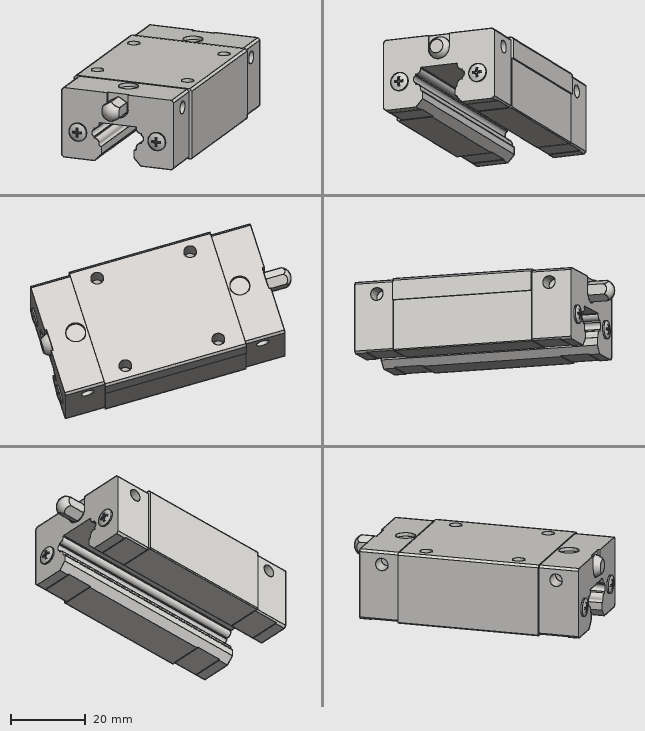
import cadquery as cq
import math


block_width = 34.0
block_length = 39.45
block_height = 19.7
block_top_chamfer = 0.6
block_bottom_chamfer = 0.3
relief_depth = 0.4
relief_top = 13.8

cap_width = 32.4
cap_top = 19.5
cap_bottom = 0.2
cap_chamfer = 0.6
cap_end = 30.75
seal_thickness = 3.1
seal_start = cap_end - seal_thickness

opening_top = 10.85
opening_half_width = 5.35
opening_corner = 0.2
groove_height = 7.7
lip_radius = 1.3
lip_gap = 1.4
groove_mouth = 1.0
groove_edge = 6.8
groove_half_width = 7.45
neck_half_width = 4.7
neck_top = 4.2
neck_bottom = 2.1
flare_half_width = 6.7

mount_spacing = 26.0
mount_diameter = 3.35
mount_depth = 6.0
drill_point_angle = 118

top_port_depth = 1.0
top_port_diameter = 5.35
top_port_y = 22.95
side_port_diameter = 3.5
side_port_y = 24.5
side_port_depth = 5.0

nipple_height = 15.8
pocket_radius = 3.05
pocket_depth = 0.55
pocket_floor = cap_end - pocket_depth
nipple_across_flats = 4.9
nipple_end = 37.2
nipple_corner_radius = nipple_across_flats / math.sqrt(3)
nipple_dome_height = 2.1
plug_end = 32.35
plug_middle_radius = 2.7
plug_top_radius = 1.9

screw_x = 11.4
screw_height = 7.5
screw_radius = 2.5
screw_rim = 0.4
screw_head_height = 0.9
cross_length = 2.5
cross_width = 0.5
cross_depth = 0.55


def prism_y(outline, start, end):
    """Extrude an XZ sketch, drawn at Y = 0, between two Y positions."""
    return outline.extrude(-(end - start)).translate((0, start, 0))


def box_between(x_half, y_start, y_end, z_bottom, z_top):
    """Box centred on X."""
    size = (2 * x_half, y_end - y_start, z_top - z_bottom)
    corner = cq.Vector(-x_half, y_start, z_bottom)
    return cq.Workplane("XY").box(*size, centered=False).translate(corner)


def facing_end(shape, side):
    """Turn a shape made for the +Y end to the -Y end when side is -1."""
    return shape if side > 0 else shape.rotate((0, 0, 0), (0, 0, 1), 180)


def make_block():
    """Chamfered block with a raised reference edge along the top of its -X side."""
    block = box_between(block_width / 2, -block_length / 2, block_length / 2, 0, block_height)
    relief = cq.Workplane("XY").box(relief_depth, block_length, relief_top, centered=(False, True, False))
    block = block.cut(relief.translate((-block_width / 2, 0, 0)))
    block = block.faces(">Z").edges("|Y").chamfer(block_top_chamfer)
    return block.faces("<Z").edges("|Y").chamfer(block_bottom_chamfer)


def make_end_cap():
    """Cap and seal plate of the +Y end."""
    half = cap_width / 2
    cap = box_between(half, block_length / 2, cap_end, 0, cap_top).edges("|Y").chamfer(cap_chamfer)
    return cap.cut(box_between(half, block_length / 2, seal_start, 0, cap_bottom))


def make_rail_opening():
    """Rail channel: right half of the section, mirrored and extruded end to end."""
    lip_diagonal = lip_radius * (1 - math.sqrt(0.5))
    lip_tip_x = opening_half_width + lip_radius
    neck_fillet = opening_half_width - neck_half_width
    lip_start = lip_gap + lip_radius
    outline = (
        cq.Workplane("XZ")
        .moveTo(0, opening_top)
        .lineTo(opening_half_width - opening_corner, opening_top)
        .lineTo(opening_half_width, opening_top - opening_corner)
        .lineTo(opening_half_width, groove_height + lip_start)
        .threePointArc(
            (opening_half_width + lip_diagonal, groove_height + lip_gap + lip_diagonal),
            (lip_tip_x, groove_height + lip_gap),
        )
        .lineTo(groove_edge, groove_height + lip_gap)
        .lineTo(groove_edge, groove_height + groove_mouth)
        .threePointArc((groove_half_width, groove_height), (groove_edge, groove_height - groove_mouth))
        .lineTo(groove_edge, groove_height - lip_gap)
        .lineTo(lip_tip_x, groove_height - lip_gap)
        .threePointArc(
            (opening_half_width + lip_diagonal, groove_height - lip_gap - lip_diagonal),
            (opening_half_width, groove_height - lip_start),
        )
        .lineTo(opening_half_width, neck_top + neck_fillet)
        .radiusArc((neck_half_width, neck_top), neck_fillet)
        .lineTo(neck_half_width, neck_bottom)
        .lineTo(flare_half_width, 0)
        .lineTo(0, 0)
        .close()
    )
    half = prism_y(outline, -cap_end, cap_end)
    return half.union(half.mirror("YZ"))


def make_mounting_hole():
    """Blind hole with a drill-point bottom, opening at the top face."""
    radius = mount_diameter / 2
    point = radius / math.tan(math.radians(drill_point_angle / 2))
    profile = (
        cq.Workplane("XZ")
        .lineTo(radius, 0)
        .lineTo(radius, -mount_depth)
        .lineTo(0, -mount_depth - point)
        .close()
    )
    return profile.revolve(360, (0, 0), (0, 1)).translate((0, 0, block_height))


def make_cap_ports():
    """Top port and the two side ports of the +Y end cap."""
    top_port = (
        cq.Workplane("XY", origin=(0, top_port_y, cap_top))
        .circle(top_port_diameter / 2)
        .extrude(-top_port_depth)
    )
    core_half_width = cap_width / 2 - side_port_depth
    side_ports = (
        cq.Workplane("YZ", origin=(-cap_width / 2, side_port_y, nipple_height))
        .circle(side_port_diameter / 2)
        .extrude(cap_width)
        .cut(box_between(core_half_width, 0, cap_end, 0, block_height))
    )
    return top_port.union(side_ports)


def make_pocket():
    """U-shaped pocket in the +Y seal face, open at the top."""
    disc = cq.Workplane("XZ", origin=(0, 0, nipple_height)).circle(pocket_radius)
    round_end = prism_y(disc, pocket_floor, cap_end)
    return round_end.union(box_between(pocket_radius, pocket_floor, cap_end, nipple_height, block_height))


def revolve_y(profile):
    """Revolve an XY sketch about the Y axis."""
    return profile.revolve(360, (0, 0), (0, 1))


def make_nipple():
    """Hexagonal grease nipple with a spherical end, pointing to +Y."""
    hexagon = cq.Workplane("XZ").polygon(6, 2 * nipple_corner_radius)
    body = prism_y(hexagon, pocket_floor, nipple_end).rotate((0, 0, 0), (0, 1, 0), 90)
    shoulder = nipple_end - nipple_dome_height
    sphere_radius = (nipple_corner_radius ** 2 + nipple_dome_height ** 2) / (2 * nipple_dome_height)
    half_angle = math.asin(nipple_corner_radius / sphere_radius) / 2
    arc_middle = (
        sphere_radius * math.sin(half_angle),
        nipple_end - sphere_radius * (1 - math.cos(half_angle)),
    )
    envelope = revolve_y(
        cq.Workplane("XY")
        .moveTo(0, pocket_floor)
        .lineTo(nipple_corner_radius, pocket_floor)
        .lineTo(nipple_corner_radius, shoulder)
        .threePointArc(arc_middle, (0, nipple_end))
        .close()
    )
    return body.intersect(envelope).translate((0, 0, nipple_height))


def make_plug():
    """Domed plug with a flat top on the +Y end."""
    middle = (pocket_floor + plug_end) / 2
    profile = (
        cq.Workplane("XY")
        .moveTo(0, pocket_floor)
        .lineTo(pocket_radius, pocket_floor)
        .threePointArc((plug_middle_radius, middle), (plug_top_radius, plug_end))
        .lineTo(0, plug_end)
        .close()
    )
    return revolve_y(profile).translate((0, 0, nipple_height))


def make_screw():
    """Cross-slot screw head on the +Y seal face, centred on the Y axis."""
    head_end = cap_end + screw_head_height
    rim_end = cap_end + screw_rim
    dome_middle = head_end - (head_end - rim_end) / 4
    profile = (
        cq.Workplane("XY")
        .moveTo(0, cap_end)
        .lineTo(screw_radius, cap_end)
        .lineTo(screw_radius, rim_end)
        .threePointArc((screw_radius / 2, dome_middle), (0, head_end))
        .close()
    )
    head = revolve_y(profile)
    slot = cq.Workplane("XY").box(cross_length, 2 * cross_depth, cross_width)
    slot = slot.translate((0, head_end, 0))
    return head.cut(slot).cut(slot.rotate((0, 0, 0), (0, 1, 0), 90))


body = make_block()
for side in (-1, 1):
    body = body.union(facing_end(make_end_cap(), side))
body = body.cut(make_rail_opening())

for x_side in (-1, 1):
    for y_side in (-1, 1):
        hole_position = (x_side * mount_spacing / 2, y_side * mount_spacing / 2, 0)
        body = body.cut(make_mounting_hole().translate(hole_position))

for side in (-1, 1):
    body = body.cut(facing_end(make_cap_ports(), side))
    body = body.cut(facing_end(make_pocket(), side))
    for x_side in (-1, 1):
        screw = make_screw().translate((x_side * screw_x, 0, screw_height))
        body = body.union(facing_end(screw, side))

body = body.union(facing_end(make_nipple(), -1))
result = body.union(make_plug())